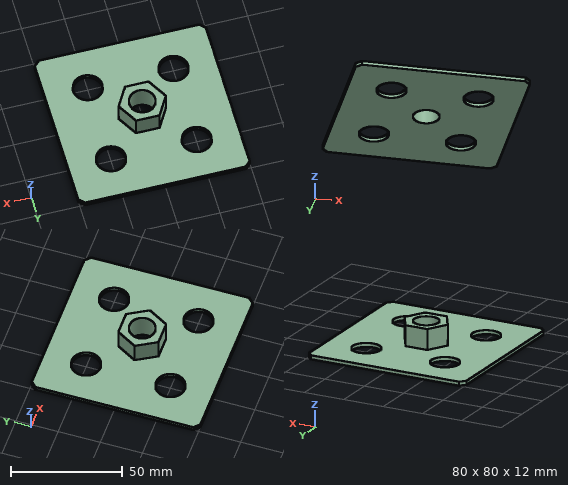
import cadquery as cq
import math

plate_side = 80.0
plate_thickness = 2.0
corner_chamfer = 2.5

hole_diameter = 13.5
hole_spacing = plate_side / 2

total_height = 12.0
nut_height = total_height - plate_thickness
nut_across_flats = 19.0
nut_across_corners = nut_across_flats / math.cos(math.pi / 6)
bore_diameter = 12.0

plate = (
    cq.Workplane("XY")
    .rect(plate_side, plate_side)
    .extrude(plate_thickness)
    .edges("|Z")
    .chamfer(corner_chamfer)
)

nut = (
    cq.Workplane("XY", origin=(0, 0, plate_thickness))
    .polygon(6, nut_across_corners)
    .extrude(nut_height)
)

plate_holes = (
    cq.Workplane("XY")
    .rarray(hole_spacing, hole_spacing, 2, 2)
    .circle(hole_diameter / 2)
    .extrude(plate_thickness)
)

bore = cq.Workplane("XY").circle(bore_diameter / 2).extrude(total_height)

result = plate.union(nut).cut(plate_holes).cut(bore)